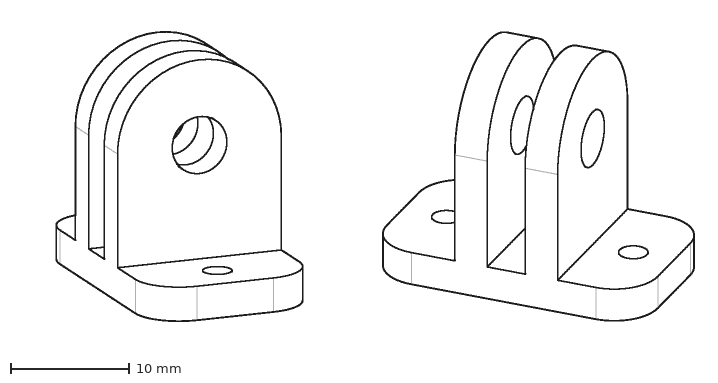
import cadquery as cq

base_length = 25.0
base_width = 15.0
base_thickness = 3.0
corner_radius = 4.0

screw_hole_diameter = 2.5
screw_hole_positions = (3.75, 21.0)

ear_thickness = 3.0
ear_gap = 3.5
first_ear_start = 7.5
ear_starts = (first_ear_start, first_ear_start + ear_thickness + ear_gap)
ear_radius = base_width / 2
pivot_height = base_thickness + 10.0
pivot_hole_diameter = 5.0


def make_base():
    """Plate with rounded corners, left end at X = 0 and centred on Y."""
    plate = (
        cq.Workplane("XY")
        .box(base_length, base_width, base_thickness, centered=(False, True, False))
        .edges("|Z")
        .fillet(corner_radius)
    )
    screw_holes = (
        cq.Workplane("XY")
        .pushPoints([(x, 0) for x in screw_hole_positions])
        .circle(screw_hole_diameter / 2)
        .extrude(base_thickness)
    )
    return plate.cut(screw_holes)


def make_ear(start):
    """Upright round-topped ear with a pivot hole, rising from the plate."""
    profile = (
        cq.Workplane("YZ", origin=(start, 0, 0))
        .moveTo(-ear_radius, 0)
        .lineTo(ear_radius, 0)
        .lineTo(ear_radius, pivot_height)
        .threePointArc((0, pivot_height + ear_radius), (-ear_radius, pivot_height))
        .close()
        .extrude(ear_thickness)
    )
    pivot_hole = (
        cq.Workplane("YZ", origin=(start, 0, 0))
        .center(0, pivot_height)
        .circle(pivot_hole_diameter / 2)
        .extrude(ear_thickness)
    )
    return profile.cut(pivot_hole)


result = make_base()
for ear_start in ear_starts:
    result = result.union(make_ear(ear_start))
result = result.clean()